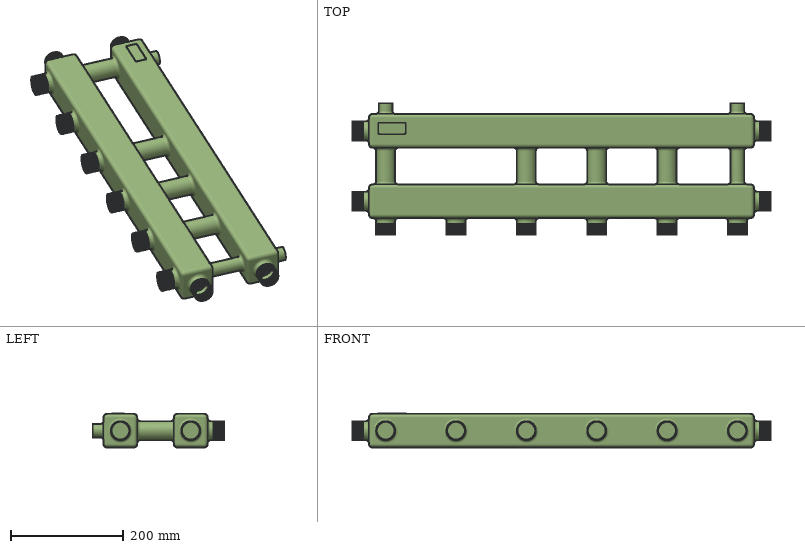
import cadquery as cq

overall_length = 745.0
nipple_length = 30.0
stub_length = 19.0
bar_size = 60.0
bar_length = overall_length - 2 * nipple_length
bar_edge_radius = 7.0
port_pitch = 125.0
port_count = 6
bar_spacing = port_pitch

pipe_diameter = 34.0
small_pipe_diameter = 24.5
weld_size = 5.0

bore_diameter = 31.0
thread_start = 10.0
thread_turns = 8
thread_depth = 1.0
thread_pitch = (nipple_length - thread_start) / thread_turns

plate_length = 49.0
plate_width = 20.0
plate_height = 1.0
plate_corner_radius = 2.0
plate_center_x = -302.0
plate_offset_y = 4.5

port_positions = [(i - (port_count - 1) / 2) * port_pitch for i in range(port_count)]
front_bar_y = -bar_spacing / 2
rear_bar_y = bar_spacing / 2
half_bar = bar_size / 2

TO_LEFT = cq.Vector(-1, 0, 0)
TO_RIGHT = cq.Vector(1, 0, 0)
TO_FRONT = cq.Vector(0, -1, 0)
TO_REAR = cq.Vector(0, 1, 0)


def bar(center_y):
    """Square bar along X with all edges rounded."""
    block = cq.Workplane("XY").box(bar_length, bar_size, bar_size)
    return block.edges().fillet(bar_edge_radius).translate((0, center_y, 0))


def revolve_along(outline, origin, direction):
    """Revolve a (radius, height) outline about the axis leaving origin in the given direction."""
    plane = cq.Plane(origin=origin, xDir=(0, 0, 1), normal=cq.Vector(0, 0, 1).cross(direction))
    return outline(cq.Workplane(plane)).close().revolve(360, (0, 0, 0), (0, 1, 0))


def weld_outline(sketch, radius):
    """Start at the axis inside the bar and follow the concave weld up to the pipe wall."""
    weld_radius = radius + weld_size
    sketch = sketch.moveTo(0, -weld_size).lineTo(weld_radius, -weld_size).lineTo(weld_radius, 0)
    return sketch.radiusArc((radius, weld_size), weld_size)


def pipe(origin, direction, diameter, length):
    """Solid pipe with a weld at its root."""
    radius = diameter / 2

    def outline(sketch):
        return weld_outline(sketch, radius).lineTo(radius, length).lineTo(0, length)

    return revolve_along(outline, origin, direction)


def nipple(origin, direction):
    """Pipe end with a weld, thread grooves and a blind bore."""
    radius = pipe_diameter / 2

    def outline(sketch):
        sketch = weld_outline(sketch, radius)
        sketch = sketch.lineTo(radius, thread_start)
        for turn in range(thread_turns):
            base = thread_start + turn * thread_pitch
            sketch = sketch.lineTo(radius - thread_depth, base + thread_pitch / 2)
            sketch = sketch.lineTo(radius, base + thread_pitch)
        sketch = sketch.lineTo(bore_diameter / 2, nipple_length)
        return sketch.lineTo(bore_diameter / 2, 0).lineTo(0, 0)

    return revolve_along(outline, origin, direction)


result = bar(front_bar_y).union(bar(rear_bar_y))

for center_y in (front_bar_y, rear_bar_y):
    result = result.union(nipple((-bar_length / 2, center_y, 0), TO_LEFT))
    result = result.union(nipple((bar_length / 2, center_y, 0), TO_RIGHT))

for x in port_positions:
    result = result.union(nipple((x, front_bar_y - half_bar, 0), TO_FRONT))

bridge_length = bar_spacing - bar_size
last_port = port_count - 1
for port in (0, 2, 3, 4, last_port):
    diameter = small_pipe_diameter if port == last_port else pipe_diameter
    x = port_positions[port]
    for start_y, direction in ((front_bar_y + half_bar, TO_REAR), (rear_bar_y - half_bar, TO_FRONT)):
        half_bridge = pipe((x, start_y, 0), direction, diameter, bridge_length / 2)
        result = result.union(half_bridge)

for x in (port_positions[0], port_positions[last_port]):
    result = result.union(pipe((x, rear_bar_y + half_bar, 0), TO_REAR, small_pipe_diameter, stub_length))

plate = (
    cq.Workplane("XY")
    .center(plate_center_x, rear_bar_y + plate_offset_y)
    .rect(plate_length, plate_width)
    .extrude(half_bar + plate_height)
    .edges("|Z")
    .fillet(plate_corner_radius)
)
result = result.union(plate)